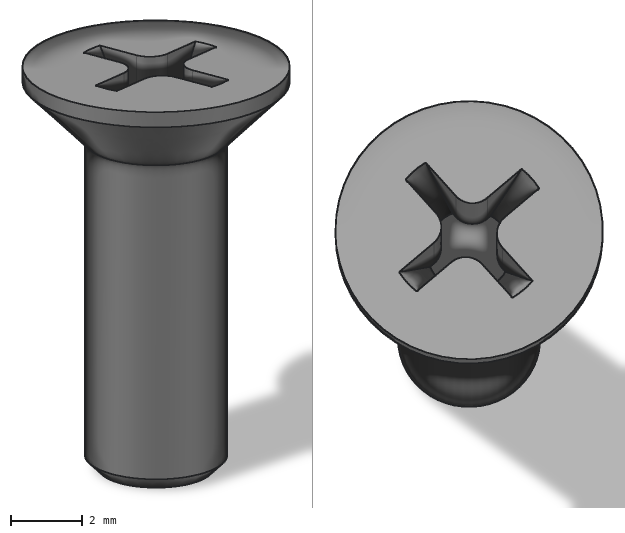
import cadquery as cq

total_length = 12.0
head_diameter = 7.5
shank_diameter = 4.0
head_height = 2.23
rim_height = 0.45
tip_chamfer = 0.4

recess_top_diameter = 4.62
recess_floor_diameter = 2.38
recess_depth = 2.23
arm_width = 0.75
arm_corner_radius = 0.62

head_radius = head_diameter / 2
shank_radius = shank_diameter / 2


def make_body():
    """Revolve the half profile of the countersunk screw about Z."""
    profile = [
        (0, 0),
        (shank_radius - tip_chamfer, 0),
        (shank_radius, tip_chamfer),
        (shank_radius, total_length - head_height),
        (head_radius, total_length - rim_height),
        (head_radius, total_length),
        (0, total_length),
    ]
    return cq.Workplane("XZ").polyline(profile).close().revolve(360, (0, 0), (0, 1))


def make_recess():
    """Cross with rounded inner corners, its arm ends tapering with depth."""
    floor_z = total_length - recess_depth
    floor = cq.Workplane("XY").workplane(offset=floor_z)
    arm_x = floor.rect(head_diameter, arm_width).extrude(recess_depth)
    arm_y = floor.rect(arm_width, head_diameter).extrude(recess_depth)
    inner_corners = cq.selectors.BoxSelector(
        (-arm_width, -arm_width, floor_z), (arm_width, arm_width, total_length)
    )
    cross = arm_x.union(arm_y).edges("|Z").edges(inner_corners).fillet(arm_corner_radius)
    cone = (
        floor.circle(recess_floor_diameter / 2)
        .workplane(offset=recess_depth)
        .circle(recess_top_diameter / 2)
        .loft(ruled=True)
    )
    return cross.intersect(cone)


result = make_body().cut(make_recess())